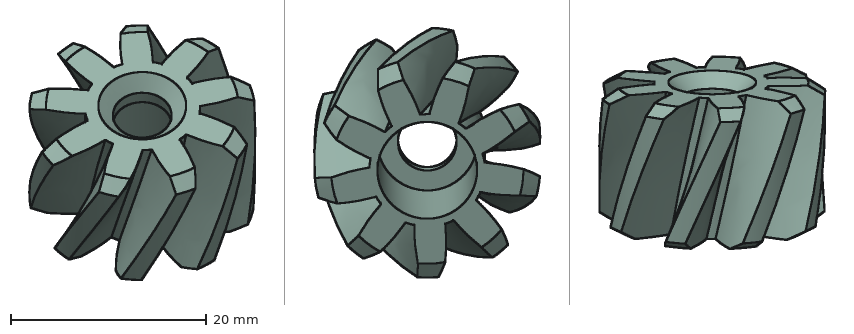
import cadquery as cq
import math

height = 15.0
outer_radius = 11.58
chamfer_height = 1.0
chamfer_width = chamfer_height * math.tan(math.radians(60))

tooth_count = 9
tooth_pitch = 360 / tooth_count
helix_rate = 2.181
twist = helix_rate * height
top_tooth_angle = 2.9
bottom_tooth_angle = top_tooth_angle - twist

root_radius = 5.93
root_half_angle = 15.5
flank_radius = 9.86
flank_half_angle = 8.2
overshoot_radius = outer_radius + 0.46
overshoot_half_angle = 4.5

bore_diameter = 6.0
countersink_diameter = 9.0
countersink_depth = (countersink_diameter - bore_diameter) / 2
counterbore_diameter = 10.2
web_thickness = 3.0


def polar(radius, angle):
    a = math.radians(angle)
    return radius * math.cos(a), radius * math.sin(a)


def gear_outline():
    """Cross section at the bottom face, with teeth joined by root arcs."""
    outline = cq.Workplane("XY").moveTo(*polar(root_radius, bottom_tooth_angle - root_half_angle))
    for i in range(tooth_count):
        center = bottom_tooth_angle + i * tooth_pitch
        next_center = center + tooth_pitch
        outline = (
            outline
            .threePointArc(polar(flank_radius, center - flank_half_angle),
                           polar(overshoot_radius, center - overshoot_half_angle))
            .threePointArc(polar(overshoot_radius, center),
                           polar(overshoot_radius, center + overshoot_half_angle))
            .threePointArc(polar(flank_radius, center + flank_half_angle),
                           polar(root_radius, center + root_half_angle))
            .threePointArc(polar(root_radius, center + tooth_pitch / 2),
                           polar(root_radius, next_center - root_half_angle))
        )
    return outline.close()


def chamfered_blank():
    """Round blank with both rims chamfered."""
    return (
        cq.Workplane("XY")
        .circle(outer_radius)
        .extrude(height)
        .edges()
        .chamfer(chamfer_height, chamfer_width)
    )


def stepped_bore():
    """Counterbore below, plain bore in the web, countersink at the top."""
    bore_radius = bore_diameter / 2
    counterbore_radius = counterbore_diameter / 2
    web_bottom = height - web_thickness
    return (
        cq.Workplane("XZ")
        .polyline([
            (0, 0),
            (counterbore_radius, 0),
            (counterbore_radius, web_bottom),
            (bore_radius, web_bottom),
            (bore_radius, height - countersink_depth),
            (countersink_diameter / 2, height),
            (0, height),
        ])
        .close()
        .revolve(360, (0, 0), (0, 1))
    )


teeth = gear_outline().twistExtrude(height, twist)
result = teeth.intersect(chamfered_blank()).cut(stepped_bore())